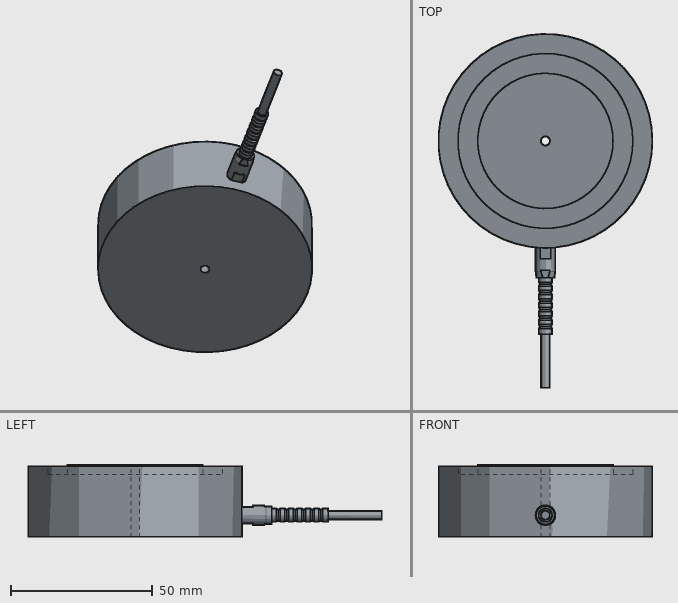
import cadquery as cq

housing_diameter = 75.7
housing_height = 25.0
groove_outer_diameter = 61.8
groove_inner_diameter = 47.8
groove_depth = 3.0
disc_rise = 0.4
centre_hole_diameter = 3.1

total_length = 125.2
axis_height = 7.6
gland_diameter = 7.0
gland_length = 10.5
gland_tip_diameter = 6.5
gland_taper_length = 2.3
root_flat_length = 3.8
root_flat_width = 5.9
tip_flat_length = 2.6
tip_flat_width = 6.3
cable_diameter = 3.1

boot_length = 19.9
boot_diameter = 4.8
boot_valley_diameter = 3.9
boot_groove_count = 6
boot_groove_pitch = 3.0
boot_groove_width = 1.5
first_groove_distance = 2.3

housing_radius = housing_diameter / 2
cable_end = total_length - housing_radius
gland_end = housing_radius + gland_length
boot_end = gland_end + boot_length


def along_outlet(distance):
    """Plane across the outlet axis, at a distance from the housing axis, facing -Y."""
    return cq.Workplane("XZ", origin=(0, -distance, axis_height))


def make_housing():
    body = cq.Workplane("XY").circle(housing_radius).extrude(housing_height)
    disc_height = housing_height + disc_rise
    groove = (
        cq.Workplane("XY", origin=(0, 0, housing_height - groove_depth))
        .circle(groove_outer_diameter / 2)
        .circle(groove_inner_diameter / 2)
        .extrude(groove_depth)
    )
    disc = cq.Workplane("XY").circle(groove_inner_diameter / 2).extrude(disc_height)
    hole = cq.Workplane("XY").circle(centre_hole_diameter / 2).extrude(disc_height)
    return body.cut(groove).union(disc).cut(hole)


def flat_cutters(start, length, width):
    """Two blocks that leave a pair of flats, above and below the outlet axis."""
    block_height = gland_diameter
    offset = (width + block_height) / 2
    return (
        along_outlet(start)
        .pushPoints([(0, offset), (0, -offset)])
        .rect(2 * gland_diameter, block_height)
        .extrude(length)
    )


def make_gland():
    embed = 1.3
    taper_start = gland_end - gland_taper_length
    barrel_start = housing_radius - embed
    barrel = along_outlet(barrel_start).circle(gland_diameter / 2).extrude(taper_start - barrel_start)
    tip = (
        along_outlet(taper_start)
        .circle(gland_diameter / 2)
        .workplane(offset=gland_taper_length)
        .circle(gland_tip_diameter / 2)
        .loft()
    )
    root_flats = flat_cutters(barrel_start, root_flat_length + embed, root_flat_width)
    tip_flats = flat_cutters(gland_end - tip_flat_length, tip_flat_length, tip_flat_width)
    return barrel.union(tip).cut(root_flats).cut(tip_flats)


def make_boot():
    """Revolved sleeve, with its profile drawn in the XY plane along -Y and then lifted to the axis."""
    crest = boot_diameter / 2
    valley = boot_valley_diameter / 2
    points = [(0, -gland_end), (crest, -gland_end)]
    for index in range(boot_groove_count):
        groove_y = -(gland_end + first_groove_distance + index * boot_groove_pitch)
        points += [
            (crest, groove_y + boot_groove_width / 2),
            (valley, groove_y),
            (crest, groove_y - boot_groove_width / 2),
        ]
    points += [(crest, -boot_end), (0, -boot_end)]
    sleeve = cq.Workplane("XY").polyline(points).close().revolve(360, (0, 0, 0), (0, 1, 0))
    return sleeve.translate((0, 0, axis_height))


def make_cable():
    return along_outlet(boot_end).circle(cable_diameter / 2).extrude(cable_end - boot_end)


result = make_housing().union(make_gland()).union(make_boot()).union(make_cable())